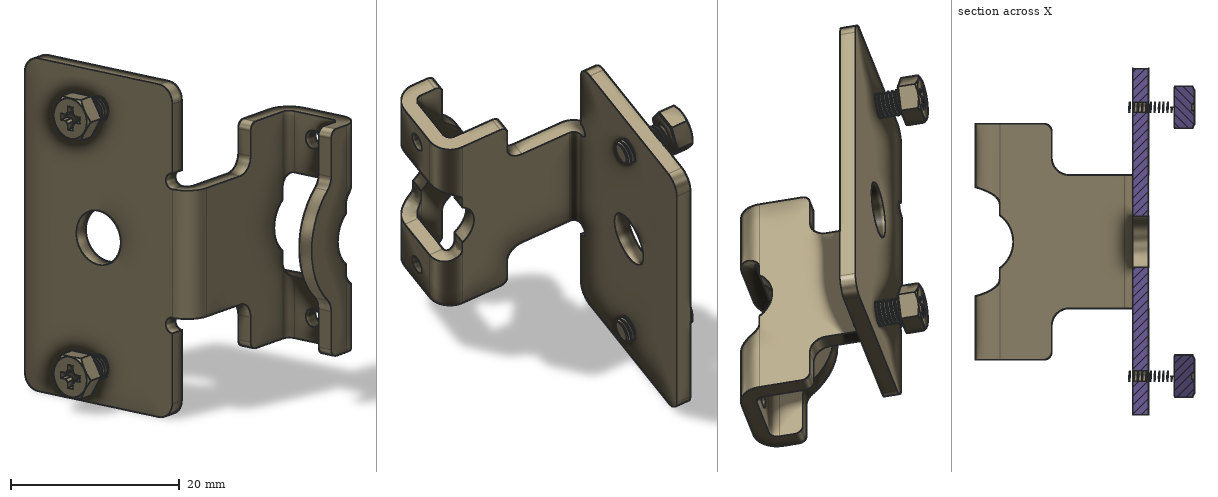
import cadquery as cq
import math


SHEET = 1.9
BEND_INNER = 1.0
BEND_OUTER = BEND_INNER + SHEET

PLATE_WIDTH = 22.1
PLATE_HEIGHT = 41.0
PLATE_CORNER = 2.05
PLATE_HOLE_DIAMETER = 6.65

HOOK_WIDTH = 11.4
HOOK_HEIGHT = 27.95
HOOK_BACK = 20.5
NECK_HEIGHT = 15.83
RELIEF_DIAMETER = 1.93
SHOULDER_DEPTH = 9.05
LIP_DEPTH = 5.8
SMALL_CORNER = 1.0
LARGE_CORNER = 2.0

WINDOW_HEIGHT = 12.87
SADDLE_DEPTH = 0.57
SADDLE_RADIUS = 3.9
LIP_BULGE_RADIUS = 8.98
WEB_HOLE_DIAMETER = 2.25
WEB_HOLE_SPACING = 21.95

SCREW_SPACING = 31.8
THREAD_DIAMETER = 3.05
THREAD_PITCH = 0.5
THREAD_DEPTH = 0.308
THREAD_CREST = 0.06
THREAD_RUNOUT = 0.3
SHANK_LENGTH = 6.0
TIP_LENGTH = 0.25
THREAD_FLANK_ANGLE = 30.0
THREAD_SINK = 0.05
HEAD_FLATS = 5.0
HEAD_FACE_DIAMETER = 4.9
HEAD_HEIGHT = 2.4
HEAD_CHAMFER_ANGLE = 30.0
HEAD_BACK_CHAMFER = 0.12
HEAD_GAP = 3.05
CROSS_LENGTH = 2.85
CROSS_WIDTH = 0.78
CROSS_CORNER = 0.33
CROSS_DEPTH = 1.02
CROSS_INSET = 0.12

EDGE_MARGIN = 0.05
BEND_SECTIONS = 7

wall_right = PLATE_WIDTH + BEND_OUTER
wall_left = wall_right - SHEET
lip_right = wall_left + HOOK_WIDTH
lip_left = lip_right - SHEET
hook_middle = wall_left + HOOK_WIDTH / 2
web_start = wall_left + BEND_OUTER
web_end = lip_right - BEND_OUTER
web_front = HOOK_BACK - SHEET
bend_centre_y = HOOK_BACK - BEND_OUTER
shoulder_y = HOOK_BACK - SHOULDER_DEPTH
lip_y = HOOK_BACK - LIP_DEPTH
saddle_y = HOOK_BACK - SADDLE_DEPTH
lip_tip_y = saddle_y - LIP_BULGE_RADIUS
plate_middle = PLATE_WIDTH / 2
core_radius = THREAD_DIAMETER / 2 - THREAD_DEPTH


def block(x_range, y_range, height):
    """A box over the given X and Y ranges, centred on Z = 0."""
    (x0, x1), (y0, y1) = x_range, y_range
    box = cq.Workplane("XY").box(x1 - x0, y1 - y0, height, centered=(False, False, True))
    return box.translate((x0, y0, 0))


def round_along_x(body, y, half_height, radius):
    """Round the pair of X-parallel edges at this Y and at plus and minus this height."""
    for z in (half_height, -half_height):
        near_edge = cq.selectors.BoxSelector(
            (0, y - EDGE_MARGIN, z - EDGE_MARGIN),
            (lip_right, y + EDGE_MARGIN, z + EDGE_MARGIN),
        )
        body = body.edges("|X").edges(near_edge).fillet(radius)
    return body


def cylinder_along_y(x, z, diameter, y_range):
    """A cylinder over the given Y range."""
    y0, y1 = y_range
    return cq.Workplane("XZ", origin=(x, y0, z)).circle(diameter / 2).extrude(y0 - y1)


def cylinder_along_x(x_range, y, radius):
    """A cylinder over the given X range, at Z = 0."""
    x0, x1 = x_range
    return cq.Workplane("YZ", origin=(x0, y, 0)).circle(radius).extrude(x1 - x0)


def make_plate():
    """The flat plate with its centre hole, screw holes and bend-relief notches."""
    plate = block((0, PLATE_WIDTH), (0, SHEET), PLATE_HEIGHT).edges("|Y").fillet(PLATE_CORNER)
    through = (0, SHEET)
    plate = plate.cut(cylinder_along_y(plate_middle, 0, PLATE_HOLE_DIAMETER, through))
    for side in (1, -1):
        screw_z = side * SCREW_SPACING / 2
        plate = plate.cut(cylinder_along_y(plate_middle, screw_z, THREAD_DIAMETER, through))
        relief_z = side * (NECK_HEIGHT + RELIEF_DIAMETER) / 2
        plate = plate.cut(cylinder_along_y(PLATE_WIDTH, relief_z, RELIEF_DIAMETER, through))
    return plate


def make_bent_strip():
    """The sheet bent from the plate's edge round to the lip's tip, at full hook height."""
    return (
        cq.Workplane("XY", origin=(0, 0, -HOOK_HEIGHT / 2))
        .moveTo(PLATE_WIDTH, 0)
        .radiusArc((wall_right, BEND_OUTER), -BEND_OUTER)
        .lineTo(wall_right, bend_centre_y)
        .radiusArc((web_start, web_front), BEND_INNER)
        .lineTo(web_end, web_front)
        .radiusArc((lip_left, bend_centre_y), BEND_INNER)
        .lineTo(lip_left, lip_tip_y)
        .lineTo(lip_right, lip_tip_y)
        .lineTo(lip_right, bend_centre_y)
        .radiusArc((web_end, HOOK_BACK), -BEND_OUTER)
        .lineTo(web_start, HOOK_BACK)
        .radiusArc((wall_left, bend_centre_y), -BEND_OUTER)
        .lineTo(wall_left, BEND_OUTER)
        .radiusArc((PLATE_WIDTH, SHEET), BEND_INNER)
        .close()
        .extrude(HOOK_HEIGHT)
    )


def make_wall_outline():
    """T shape seen along X: a narrow neck that widens at the shoulders."""
    x_range = (PLATE_WIDTH, hook_middle)
    outline = block(x_range, (shoulder_y, HOOK_BACK), HOOK_HEIGHT)
    outline = outline.union(block(x_range, (0, shoulder_y), NECK_HEIGHT))
    outline = round_along_x(outline, shoulder_y, HOOK_HEIGHT / 2, SMALL_CORNER)
    return round_along_x(outline, shoulder_y, NECK_HEIGHT / 2, LARGE_CORNER)


def make_lip_outline():
    """Lip shape seen along X: a straight edge with a round bulge in the middle."""
    x_range = (hook_middle, lip_right)
    outline = block(x_range, (lip_y, HOOK_BACK), HOOK_HEIGHT)
    bulge = cylinder_along_x(x_range, saddle_y, LIP_BULGE_RADIUS)
    bulge = bulge.intersect(block(x_range, (lip_tip_y, saddle_y), HOOK_HEIGHT))
    bulge_half_height = math.sqrt(LIP_BULGE_RADIUS**2 - (saddle_y - lip_y) ** 2)
    outline = outline.union(bulge)
    outline = round_along_x(outline, lip_y, HOOK_HEIGHT / 2, SMALL_CORNER)
    return round_along_x(outline, lip_y, bulge_half_height, LARGE_CORNER)


def make_bend_window(bend_x, side):
    """Window end wrapped round one bend: radial sections that narrow along the corner curve."""
    inner, outer = BEND_INNER / 2, BEND_OUTER + BEND_INNER / 2
    wires = []
    for i in range(BEND_SECTIONS):
        corner_angle = math.pi / 2 * i / (BEND_SECTIONS - 1)
        bend_angle = math.pi / 2 * math.sin(corner_angle)
        half_height = WINDOW_HEIGHT / 2 - LARGE_CORNER * (1 - math.cos(corner_angle))
        across = side * math.sin(bend_angle)
        back = math.cos(bend_angle)
        points = [
            cq.Vector(bend_x + radius * across, bend_centre_y + radius * back, z)
            for radius, z in (
                (inner, -half_height),
                (outer, -half_height),
                (outer, half_height),
                (inner, half_height),
            )
        ]
        wires.append(cq.Wire.makePolygon(points, close=True))
    return cq.Workplane(cq.Solid.makeLoft(wires))


def make_hook():
    """The hook with its window, the saddle across wall and lip, and the web holes."""
    hook = make_bent_strip().intersect(make_wall_outline().union(make_lip_outline()))
    hook = hook.cut(block((web_start, web_end), (web_front, HOOK_BACK), WINDOW_HEIGHT))
    hook = hook.cut(make_bend_window(web_start, -1))
    hook = hook.cut(make_bend_window(web_end, 1))
    hook = hook.cut(cylinder_along_x((wall_left, lip_right), saddle_y, SADDLE_RADIUS))
    for side in (1, -1):
        hole_z = side * WEB_HOLE_SPACING / 2
        hook = hook.cut(cylinder_along_y(hook_middle, hole_z, WEB_HOLE_DIAMETER, (web_front, HOOK_BACK)))
    return hook


def make_bracket():
    """Plate and hook as one piece of bent sheet."""
    return make_plate().union(make_hook())


def make_thread():
    """Helical V ridge from just past the head to the tip, its root sunk into the shank core."""
    flank_slope = math.tan(math.radians(THREAD_FLANK_ANGLE))
    root = core_radius - THREAD_SINK
    crest = THREAD_DIAMETER / 2
    crest_half = THREAD_CREST / 2
    root_half = crest_half + (crest - root) * flank_slope
    helix = cq.Wire.makeHelix(THREAD_PITCH, SHANK_LENGTH - THREAD_RUNOUT - TIP_LENGTH, core_radius)
    thread = (
        cq.Workplane("XZ")
        .polyline([(root, -root_half), (crest, -crest_half), (crest, crest_half), (root, root_half)])
        .close()
        .sweep(cq.Workplane(helix), isFrenet=True)
    )
    return thread.translate((0, 0, THREAD_RUNOUT))


def make_head():
    """Hexagon head from Z = 0 down, coned on its outer face, with a cross recess."""
    corner_radius = HEAD_FLATS / math.sqrt(3)
    face_radius = HEAD_FACE_DIAMETER / 2
    cone_height = (corner_radius - face_radius) * math.tan(math.radians(HEAD_CHAMFER_ANGLE))
    head = cq.Workplane("XY").polygon(6, 2 * corner_radius).extrude(-HEAD_HEIGHT)
    head = head.faces(">Z").chamfer(HEAD_BACK_CHAMFER)
    cone = (
        cq.Workplane("XZ")
        .polyline(
            [
                (0, 0),
                (corner_radius, 0),
                (corner_radius, cone_height - HEAD_HEIGHT),
                (face_radius, -HEAD_HEIGHT),
                (0, -HEAD_HEIGHT),
            ]
        )
        .close()
        .revolve(360, (0, 0), (0, 1))
    )
    return head.intersect(cone).cut(make_cross_recess())


def make_cross_outline(inset, z):
    """Closed cross at this height, shrunk by the inset, its inner corners cut back diagonally."""
    arm = CROSS_LENGTH / 2 - inset
    half = CROSS_WIDTH / 2 - inset
    corner = half + CROSS_CORNER
    quarter = [(arm, -half), (arm, half), (corner, half), (half, corner)]
    points = []
    for _ in range(4):
        points += [cq.Vector(x, y, z) for x, y in quarter]
        quarter = [(-y, x) for x, y in quarter]
    return cq.Wire.makePolygon(points, close=True)


def make_cross_recess():
    """Cross recess that narrows from the head's face to its floor."""
    mouth = make_cross_outline(0, -HEAD_HEIGHT)
    floor = make_cross_outline(CROSS_INSET, CROSS_DEPTH - HEAD_HEIGHT)
    return cq.Workplane(cq.Solid.makeLoft([mouth, floor], ruled=True))


def make_screw(z):
    """One screw with its head in front of the plate and its tip behind it."""
    core = cq.Workplane("XY").circle(core_radius).extrude(SHANK_LENGTH)
    shank = core.union(make_thread())
    screw = make_head().union(shank)
    return screw.rotate((0, 0, 0), (1, 0, 0), -90).translate((plate_middle, -HEAD_GAP, z))


bracket = make_bracket()
screws = [make_screw(side * SCREW_SPACING / 2) for side in (1, -1)]

result = cq.Compound.makeCompound([bracket.val(), *[screw.val() for screw in screws]])